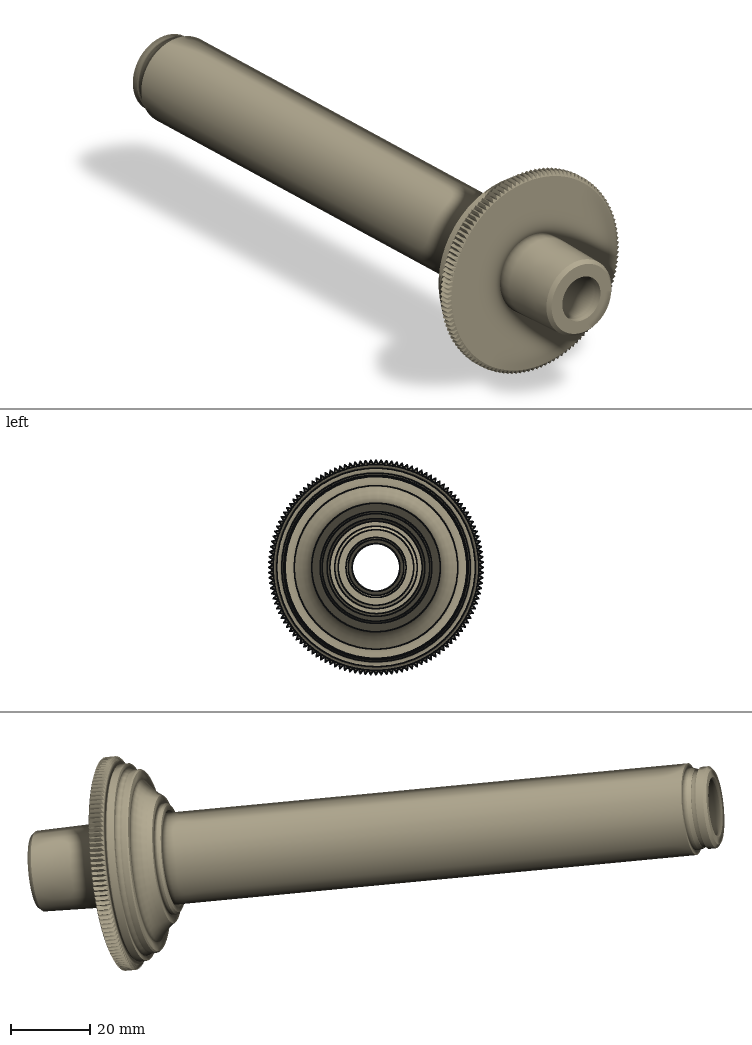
import cadquery as cq
import math

OVERALL_LENGTH = 176.0
TUBE_START = 6.0
TUBE_RADIUS = 11.6

SLEEVE_RADIUS = 10.4
SLEEVE_BORE_RADIUS = 7.0
SLEEVE_CHAMFER_LENGTH = 0.7
SLEEVE_CHAMFER_DEPTH = 0.9
SLEEVE_BORE_CHAMFER = 0.5
GROOVE_RADIUS = 9.9
GROOVE_START = 2.6
GROOVE_END = 3.9
GROOVE_LIP_RADIUS = 10.0
GROOVE_TAPER_END = 5.0

SEAL_START = 140.5
SEAL_RADIUS = 14.0
SEAL_CHAMFER = 0.5
SEAL_RELIEF = 0.7

FLANGE_START = 142.0
CONE_END = 146.6
CONE_START_RADIUS = 16.2
CONE_END_RADIUS = 20.6
CONE_HOLLOW = 0.4
FIRST_RIM_RADIUS = 23.2
FIRST_RIM_CHAMFER = 0.4
FIRST_RIM_END = 148.5
STEP_RADIUS = 23.8
SECOND_RIM_START = 149.8
SECOND_RIM_RADIUS = 25.0
SECOND_RIM_CHAMFER = 0.5

TOOTHED_START = 152.2
TOOTHED_END = 156.1
TOOTH_COUNT = 128
TOOTH_TIP_DIAMETER = 54.0
TOOTH_TIP_RADIUS = TOOTH_TIP_DIAMETER / 2
TOOTH_DEPTH = 1.15
TOOTHED_BEVEL_LENGTH = 0.5

STUB_ROOT_RADIUS = 10.7
STUB_END_RADIUS = 10.2
STUB_BORE_RADIUS = 6.0
STUB_CHAMFER_LENGTH = 1.0
STUB_CHAMFER_DEPTH = 0.9


def turn(profile):
    """Revolve a closed (x, radius) outline about the X axis."""
    return profile.close().revolve(360, (0, 0, 0), (1, 0, 0))


def make_inner_sleeve():
    """Bored sleeve with a chamfered nose and a shallow groove that runs out in a taper."""
    return turn(
        cq.Workplane("XY")
        .moveTo(SLEEVE_BORE_CHAMFER, SLEEVE_BORE_RADIUS)
        .lineTo(0, SLEEVE_BORE_RADIUS + SLEEVE_BORE_CHAMFER)
        .lineTo(0, SLEEVE_RADIUS - SLEEVE_CHAMFER_DEPTH)
        .lineTo(SLEEVE_CHAMFER_LENGTH, SLEEVE_RADIUS)
        .lineTo(GROOVE_START, SLEEVE_RADIUS)
        .lineTo(GROOVE_START, GROOVE_RADIUS)
        .lineTo(GROOVE_END, GROOVE_RADIUS)
        .lineTo(GROOVE_END, GROOVE_LIP_RADIUS)
        .lineTo(GROOVE_TAPER_END, SLEEVE_RADIUS)
        .lineTo(TOOTHED_END, SLEEVE_RADIUS)
        .lineTo(TOOTHED_END, SLEEVE_BORE_RADIUS)
    )


def make_tube():
    """Plain tube around the inner sleeve, ending flush with the toothed ring."""
    return turn(
        cq.Workplane("XY")
        .moveTo(TUBE_START, SLEEVE_RADIUS)
        .lineTo(TUBE_START, TUBE_RADIUS)
        .lineTo(TOOTHED_END, TUBE_RADIUS)
        .lineTo(TOOTHED_END, SLEEVE_RADIUS)
    )


def make_seal_ring():
    """Thin ring on the tube with both corners of its leading face chamfered."""
    return turn(
        cq.Workplane("XY")
        .moveTo(SEAL_START + SEAL_RELIEF, TUBE_RADIUS)
        .lineTo(SEAL_START, TUBE_RADIUS + SEAL_RELIEF)
        .lineTo(SEAL_START, SEAL_RADIUS - SEAL_CHAMFER)
        .lineTo(SEAL_START + SEAL_CHAMFER, SEAL_RADIUS)
        .lineTo(FLANGE_START, SEAL_RADIUS)
        .lineTo(FLANGE_START, TUBE_RADIUS)
    )


def make_flange():
    """Slightly hollow cone that widens into two stepped rims."""
    cone_length = CONE_END - FLANGE_START
    cone_rise = CONE_END_RADIUS - CONE_START_RADIUS
    slant = math.hypot(cone_length, cone_rise)
    hollow_point = (
        FLANGE_START + cone_length / 2 + CONE_HOLLOW * cone_rise / slant,
        CONE_START_RADIUS + cone_rise / 2 - CONE_HOLLOW * cone_length / slant,
    )
    return turn(
        cq.Workplane("XY")
        .moveTo(FLANGE_START, TUBE_RADIUS)
        .lineTo(FLANGE_START, CONE_START_RADIUS)
        .threePointArc(hollow_point, (CONE_END, CONE_END_RADIUS))
        .lineTo(CONE_END, FIRST_RIM_RADIUS - FIRST_RIM_CHAMFER)
        .lineTo(CONE_END + FIRST_RIM_CHAMFER, FIRST_RIM_RADIUS)
        .lineTo(FIRST_RIM_END, FIRST_RIM_RADIUS)
        .lineTo(SECOND_RIM_START, STEP_RADIUS)
        .lineTo(SECOND_RIM_START, SECOND_RIM_RADIUS)
        .lineTo(TOOTHED_START - SECOND_RIM_CHAMFER, SECOND_RIM_RADIUS)
        .lineTo(TOOTHED_START, SECOND_RIM_RADIUS - SECOND_RIM_CHAMFER)
        .lineTo(TOOTHED_START, TUBE_RADIUS)
    )


def make_toothed_ring():
    """Ring with V-shaped teeth all round, each bevelled down to its root at both ends."""
    root_radius = TOOTH_TIP_RADIUS - TOOTH_DEPTH
    half_pitch = math.pi / TOOTH_COUNT
    outline = []
    for tooth in range(TOOTH_COUNT):
        tip_angle = 2 * half_pitch * tooth
        for radius, angle in (
            (TOOTH_TIP_RADIUS, tip_angle),
            (root_radius, tip_angle + half_pitch),
        ):
            outline.append((radius * math.cos(angle), radius * math.sin(angle)))
    toothed = (
        cq.Workplane("YZ", origin=(TOOTHED_START, 0, 0))
        .polyline(outline)
        .close()
        .extrude(TOOTHED_END - TOOTHED_START)
    )
    envelope = turn(
        cq.Workplane("XY")
        .moveTo(TOOTHED_START, TUBE_RADIUS)
        .lineTo(TOOTHED_START, root_radius)
        .lineTo(TOOTHED_START + TOOTHED_BEVEL_LENGTH, TOOTH_TIP_RADIUS)
        .lineTo(TOOTHED_END - TOOTHED_BEVEL_LENGTH, TOOTH_TIP_RADIUS)
        .lineTo(TOOTHED_END, root_radius)
        .lineTo(TOOTHED_END, TUBE_RADIUS)
    )
    return toothed.intersect(envelope)


def make_stub_sleeve():
    """Bored, slightly tapered sleeve with a chamfered end."""
    return turn(
        cq.Workplane("XY")
        .moveTo(TOOTHED_END, STUB_BORE_RADIUS)
        .lineTo(TOOTHED_END, STUB_ROOT_RADIUS)
        .lineTo(OVERALL_LENGTH - STUB_CHAMFER_LENGTH, STUB_END_RADIUS)
        .lineTo(OVERALL_LENGTH, STUB_END_RADIUS - STUB_CHAMFER_DEPTH)
        .lineTo(OVERALL_LENGTH, STUB_BORE_RADIUS)
    )


inner_sleeve = make_inner_sleeve()
tube = make_tube()
seal_ring = make_seal_ring()
flange = make_flange()
toothed_ring = make_toothed_ring()
stub_sleeve = make_stub_sleeve()

result = cq.Compound.makeCompound(
    [
        inner_sleeve.val(),
        tube.val(),
        seal_ring.val(),
        flange.val(),
        toothed_ring.val(),
        stub_sleeve.val(),
    ]
)